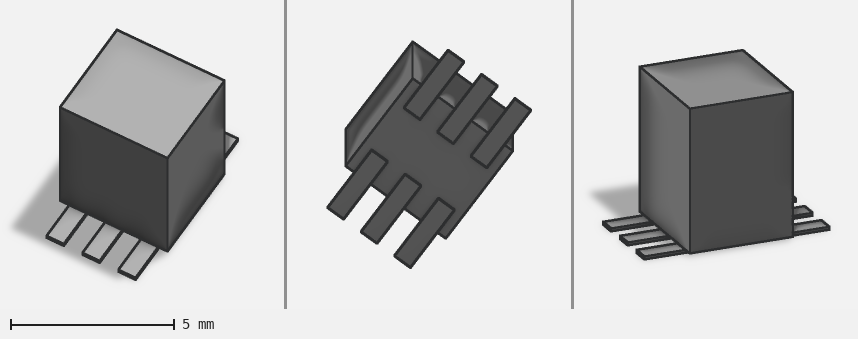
import cadquery as cq

housing_width = 3.81
housing_depth = 3.43
housing_height = 4.75

lead_width = 0.61
lead_length = 2.25
lead_thickness = 0.10
lead_pitch = 1.27
leads_per_side = 3
lead_span = 6.15


def make_housing():
    """Plain block resting on top of the leads."""
    return (
        cq.Workplane("XY", origin=(0, 0, lead_thickness))
        .box(housing_width, housing_depth, housing_height, centered=(True, True, False))
    )


def make_lead(x, side):
    """Flat strip lying on Z = 0 with its tip on the given Y side (-1 or +1)."""
    y = side * (lead_span - lead_length) / 2
    return (
        cq.Workplane("XY", origin=(x, y, 0))
        .box(lead_width, lead_length, lead_thickness, centered=(True, True, False))
    )


housing = make_housing()

leads = []
for side in (-1, 1):
    for index in range(leads_per_side):
        lead_x = (index - (leads_per_side - 1) / 2) * lead_pitch
        leads.append(make_lead(lead_x, side))

result = cq.Compound.makeCompound([housing.val(), *[lead.val() for lead in leads]])